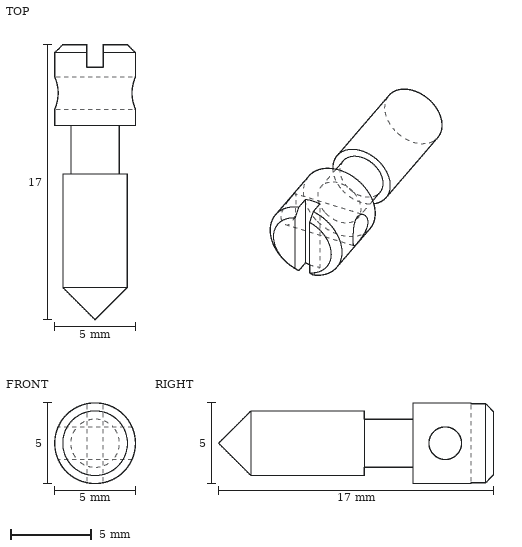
import cadquery as cq

total_length = 17.0
head_diameter = 5.0
head_length = 5.0
head_chamfer = 0.5
neck_diameter = 3.0
neck_length = 3.0
shank_diameter = 4.0
slot_width = 1.0
slot_depth = 1.4
cross_hole_diameter = 2.0
cross_hole_from_end = 3.0

head_radius = head_diameter / 2
neck_radius = neck_diameter / 2
shank_radius = shank_diameter / 2
tip_length = shank_radius
head_start = total_length - head_length
neck_start = head_start - neck_length


def make_body():
    """Revolve the half profile of point, shank, neck and chamfered head."""
    profile = [
        (0, 0),
        (shank_radius, tip_length),
        (shank_radius, neck_start),
        (neck_radius, neck_start),
        (neck_radius, head_start),
        (head_radius, head_start),
        (head_radius, total_length - head_chamfer),
        (head_radius - head_chamfer, total_length),
        (0, total_length),
    ]
    return cq.Workplane("XY").polyline(profile).close().revolve(360, (0, 0), (0, 1))


def make_driver_slot():
    """Slot across the head end, running along Z."""
    slot_center = total_length - slot_depth / 2
    return cq.Workplane("XY").center(0, slot_center).box(slot_width, slot_depth, head_diameter)


def make_cross_hole():
    """Hole through the head along X."""
    hole_center = total_length - cross_hole_from_end
    return (
        cq.Workplane("YZ")
        .center(hole_center, 0)
        .circle(cross_hole_diameter / 2)
        .extrude(head_radius, both=True)
    )


result = make_body().cut(make_driver_slot()).cut(make_cross_hole())